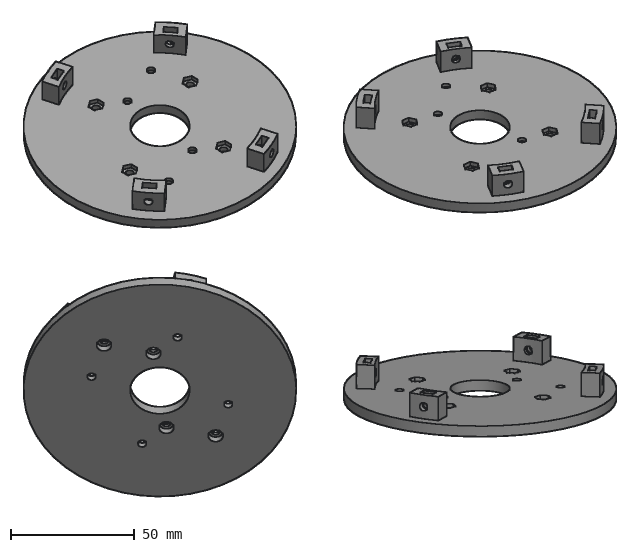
import cadquery as cq
import math

plate_diameter = 110.0
plate_thickness = 4.5
bore_diameter = 24.0

screw_diameter = 3.4
nut_across_flats = 5.7
nut_across_corners = nut_across_flats / math.cos(math.radians(30))

nut_pocket_offset = 20.1
nut_pocket_depth = 2.0

plain_hole_outer_x = 31.7
plain_hole_inner_x = 17.9
plain_hole_y = 7.5

head_diameter = 5.9
head_recess_depth = 3.0

block_inner_radius = 42.5
block_outer_radius = 49.9
block_width = 13.0
block_height = 10.0
block_angles = (45, 155, 225, 335)

slot_thickness = 3.0
slot_radius = 45.6
slot_axis_height = block_height / 2


def make_plate():
    return (
        cq.Workplane("XY")
        .circle(plate_diameter / 2)
        .circle(bore_diameter / 2)
        .extrude(plate_thickness)
    )


def make_plate_holes():
    nut_points = [
        (x, y)
        for x in (-nut_pocket_offset, nut_pocket_offset)
        for y in (-nut_pocket_offset, nut_pocket_offset)
    ]
    plain_points = [
        (-plain_hole_outer_x, plain_hole_y),
        (plain_hole_inner_x, plain_hole_y),
        (-plain_hole_inner_x, -plain_hole_y),
        (plain_hole_outer_x, -plain_hole_y),
    ]
    holes = (
        cq.Workplane("XY")
        .pushPoints(nut_points + plain_points)
        .circle(screw_diameter / 2)
        .extrude(plate_thickness)
    )
    head_recesses = (
        cq.Workplane("XY")
        .pushPoints(plain_points)
        .circle(head_diameter / 2)
        .extrude(head_recess_depth)
    )
    holes = holes.union(head_recesses)

    hexagon = [
        (
            nut_across_corners / 2 * math.sin(math.radians(corner_angle)),
            nut_across_corners / 2 * math.cos(math.radians(corner_angle)),
        )
        for corner_angle in range(0, 360, 60)
    ]
    pocket = (
        cq.Workplane("XY")
        .workplane(offset=plate_thickness - nut_pocket_depth)
        .polyline(hexagon)
        .close()
        .extrude(nut_pocket_depth)
    )
    for x, y in nut_points:
        holes = holes.union(pocket.translate((x, y, 0)))
    return holes


def make_block():
    """Block standing on the plate along +X, with a nut slot and a radial screw hole."""
    ring = (
        cq.Workplane("XY")
        .workplane(offset=plate_thickness)
        .circle(block_outer_radius)
        .circle(block_inner_radius)
        .extrude(block_height)
    )
    strip = (
        cq.Workplane("XY")
        .workplane(offset=plate_thickness)
        .rect(block_outer_radius, block_width)
        .extrude(block_height)
        .translate((block_outer_radius, 0, 0))
    )
    axis_z = plate_thickness + slot_axis_height
    top_z = plate_thickness + block_height

    half_width = nut_across_flats / 2
    floor_corner_z = axis_z - nut_across_corners / 4
    floor_tip_z = axis_z - nut_across_corners / 2
    slot = (
        cq.Workplane("YZ")
        .workplane(offset=slot_radius - slot_thickness / 2)
        .moveTo(-half_width, top_z)
        .lineTo(-half_width, floor_corner_z)
        .lineTo(0, floor_tip_z)
        .lineTo(half_width, floor_corner_z)
        .lineTo(half_width, top_z)
        .close()
        .extrude(slot_thickness)
    )
    screw_hole = (
        cq.Workplane("YZ")
        .center(0, axis_z)
        .circle(screw_diameter / 2)
        .extrude(block_outer_radius)
    )
    return ring.intersect(strip).cut(slot).cut(screw_hole)


result = make_plate().cut(make_plate_holes())
block = make_block()
for angle in block_angles:
    result = result.union(block.rotate((0, 0, 0), (0, 0, 1), angle))